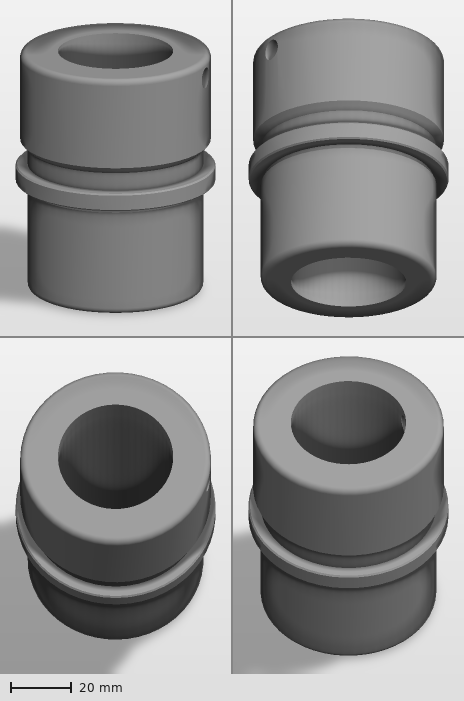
import cadquery as cq

length = 82.0
bore_diameter = 38.05

body_radius = 29.0
body_top = 35.3
body_edge_radius = 2.0

groove_radius = 28.3
groove_chamfer = 0.7

flange_radius = 33.005
flange_bottom = 37.0
flange_thickness = 6.0
flange_chamfer = 0.5

neck_radius = body_radius
head_radius = 31.5
cone_bottom = 49.0
head_edge_radius = 2.0

side_hole_diameter = 7.0
side_hole_depth_from_top = 6.0

flange_top = flange_bottom + flange_thickness
flange_rim_radius = flange_radius - flange_chamfer
cone_top = cone_bottom + head_radius - neck_radius


def make_profile():
    """Half section of the solid turning, as (radius, height)."""
    return (
        cq.Workplane("XZ")
        .lineTo(body_radius, 0)
        .lineTo(body_radius, body_top)
        .lineTo(groove_radius, body_top + groove_chamfer)
        .lineTo(groove_radius, flange_bottom)
        .lineTo(flange_rim_radius, flange_bottom)
        .lineTo(flange_radius, flange_bottom + flange_chamfer)
        .lineTo(flange_radius, flange_top - flange_chamfer)
        .lineTo(flange_rim_radius, flange_top)
        .lineTo(neck_radius, flange_top)
        .lineTo(neck_radius, cone_bottom)
        .lineTo(head_radius, cone_top)
        .lineTo(head_radius, length)
        .lineTo(0, length)
        .close()
    )


def make_side_hole():
    """Cylinder from the axis out through the +X wall."""
    return (
        cq.Workplane("YZ")
        .center(0, length - side_hole_depth_from_top)
        .circle(side_hole_diameter / 2)
        .extrude(flange_radius)
    )


sleeve = make_profile().revolve(360, (0, 0, 0), (0, 1, 0))
sleeve = sleeve.faces("<Z").edges().fillet(body_edge_radius)
sleeve = sleeve.faces(">Z").edges().fillet(head_edge_radius)
sleeve = sleeve.faces(">Z").workplane().hole(bore_diameter)

result = sleeve.cut(make_side_hole())